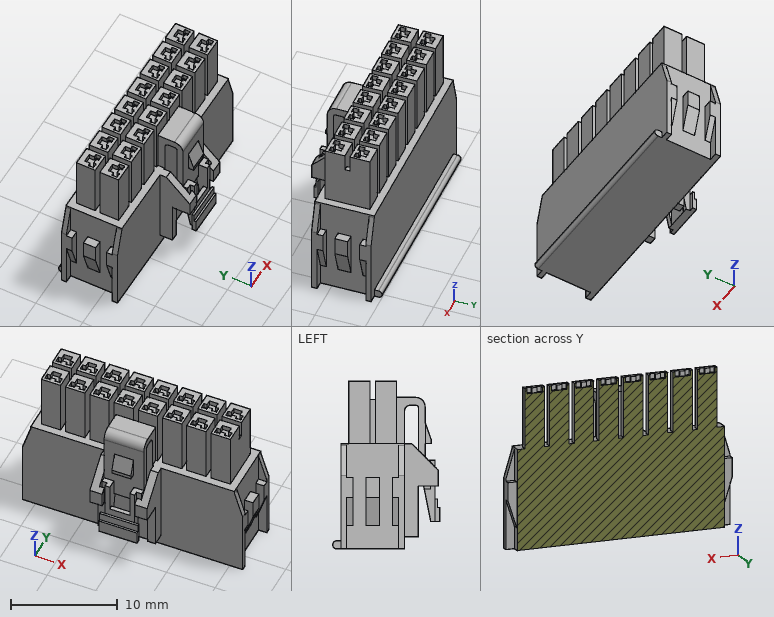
import cadquery as cq

OVERLAP = 0.11

length = 22.7
core_length = 20.97
housing_depth = 5.97
housing_height = 9.87
total_height = 15.7

front_wing_thickness = 0.57
back_wing_thickness = 0.52
wing_top = 9.67
wing_shoulder = 6.85

rib_top = 6.67
rib_ramp_top = 4.84
rib_bottom = 2.2
front_rib_edge = 1.15
back_rib_edge = 4.84
middle_rib_edges = (2.34, 3.63)

rail_width = 0.77
rail_height = 0.77
rail_rounding = 0.36

columns = 8
pitch = 2.5
tower_size = 2.0
row_centers = (1.75, 4.25)
cavity_depth = 0.5
cavity_wide = 1.52
cavity_narrow = 0.86
cavity_wide_height = 0.55
cavity_narrow_height = 0.55
cavity_front_wall = 0.32
key_width = 0.5
key_height = 0.25

web_width = 0.5
web_top = 14.0

latch_width = 4.09
latch_top = 14.2
latch_front = -1.93
latch_outer_radius = 0.9
latch_gap_front = -1.3
latch_gap_top = 13.44
latch_gap_back_radius = 0.5
latch_gap_front_radius = 0.23

tooth_width = 1.95
tooth_tip = -2.5
tooth_top = 11.85
tooth_lip_top = 10.24
tooth_bottom = 9.87

foot_top = 8.3
foot_bottom = 2.57
foot_front = -2.85
foot_bottom_back = -2.43
frame_width = 3.05
ear_bottom = 5.6
slot_width = 2.07
slot_floor = 5.47
arm_bottom = 6.67
tab_width = 3.93
tab_top = 4.7
tab_step = 3.9
tab_upper_front = -3.09
tab_front = -3.3

guide_outer_half = 2.95
guide_inner_half = 2.15
guide_bottom = 1.14
guide_leg_front = -1.3
guide_slope_start = -0.65
guide_front = -3.15
guide_arm_bottom = 5.88
lip_inner_half = 1.68
lip_back = -2.7


def block(x_range, y_range, z_range):
    """Box spanning the given ranges."""
    lows, highs = zip(*(sorted(r) for r in (x_range, y_range, z_range)))
    sizes = [high - low for low, high in zip(lows, highs)]
    return cq.Workplane("XY").box(*sizes, centered=False).translate(lows)


def centered_block(width, y_range, z_range):
    """Box centred on X = 0."""
    return block((-width / 2, width / 2), y_range, z_range)


def side_prism(points, x_range):
    """Prism along X from a closed (Y, Z) outline."""
    low, high = sorted(x_range)
    return cq.Workplane("YZ", origin=(low, 0, 0)).polyline(points).close().extrude(high - low)


def centered_prism(points, width):
    return side_prism(points, (-width / 2, width / 2))


def wing(y_start, thickness):
    """Full-length wall with sloped upper corners."""
    half_length = length / 2
    half_core = core_length / 2
    outline = [
        (-half_length, 0),
        (half_length, 0),
        (half_length, wing_shoulder),
        (half_core, wing_top),
        (-half_core, wing_top),
        (-half_length, wing_shoulder),
    ]
    plane = cq.Workplane("XZ", origin=(0, y_start + thickness, 0))
    return plane.polyline(outline).close().extrude(thickness)


def ribs(y_start, y_end):
    """Matching ribs on both ends, made as one bar through the core."""
    half_length = length / 2
    half_core = core_length / 2
    outline = [
        (-half_core, rib_bottom),
        (half_core, rib_bottom),
        (half_length, rib_ramp_top),
        (half_length, rib_top),
        (-half_length, rib_top),
        (-half_length, rib_ramp_top),
    ]
    return cq.Workplane("XZ", origin=(0, y_end, 0)).polyline(outline).close().extrude(y_end - y_start)


def rail():
    """Rail rounded along its two back edges."""
    root = housing_depth - OVERLAP
    back = housing_depth + rail_width
    bar = centered_block(core_length, (root, back), (0, rail_height))
    return bar.faces(">Y").edges("|X").fillet(rail_rounding)


def housing():
    back_wing_start = housing_depth - back_wing_thickness
    body = centered_block(core_length, (0, housing_depth), (0, housing_height))
    body = body.union(wing(0, front_wing_thickness))
    body = body.union(wing(back_wing_start, back_wing_thickness))
    body = body.union(ribs(front_wing_thickness - OVERLAP, front_rib_edge))
    body = body.union(ribs(*middle_rib_edges))
    body = body.union(ribs(back_rib_edge, back_wing_start + OVERLAP))
    return body.union(rail())


def tower_positions():
    first = -pitch * (columns - 1) / 2
    return [(first + i * pitch, y) for i in range(columns) for y in row_centers]


def towers():
    height = total_height - housing_height
    plane = cq.Workplane("XY", origin=(0, 0, housing_height - OVERLAP))
    return plane.pushPoints(tower_positions()).rect(tower_size, tower_size).extrude(height + OVERLAP)


def cavities():
    """Stepped cavities with a key in the middle of the front wall."""
    front = cavity_front_wall - tower_size / 2
    middle = front + cavity_wide_height
    back = middle + cavity_narrow_height
    depth_range = (total_height - cavity_depth, total_height)
    cavity = centered_block(cavity_wide, (front, middle), depth_range)
    cavity = cavity.union(centered_block(cavity_narrow, (middle - OVERLAP, back), depth_range))
    cavity = cavity.cut(centered_block(key_width, (front, front + key_height), depth_range))
    shape = cavity.val()
    return cq.Workplane("XY").pushPoints(tower_positions()).eachpoint(lambda place: shape.moved(place))


def tower_web():
    outer = pitch * (columns - 1) / 2 + tower_size / 2
    front = row_centers[0] + tower_size / 2 - OVERLAP
    back = row_centers[1] - tower_size / 2 + OVERLAP
    return block((outer - web_width, outer), (front, back), (housing_height - OVERLAP, web_top))


def latch_arm():
    """Inverted U rising from the housing and hanging down in front of it."""
    root = row_centers[0] - tower_size / 2
    arm = centered_block(latch_width, (root, latch_front), (foot_top, latch_top))
    arm = arm.edges(">Z and <Y").fillet(latch_outer_radius)
    gap = centered_block(latch_width, (0, latch_gap_front), (foot_top, latch_gap_top))
    gap = gap.edges(">Z and >Y").fillet(latch_gap_back_radius)
    gap = gap.edges(">Z and <Y").fillet(latch_gap_front_radius)
    return arm.cut(gap)


def latch_tooth():
    inside = latch_front + OVERLAP
    outline = [
        (inside, tooth_bottom),
        (tooth_tip, tooth_bottom),
        (tooth_tip, tooth_lip_top),
        (latch_front, tooth_top),
        (inside, tooth_top),
    ]
    return centered_prism(outline, tooth_width)


def latch_foot():
    taper = [
        (latch_gap_front, foot_top),
        (foot_bottom_back, foot_bottom),
        (foot_front, foot_bottom),
        (foot_front, foot_top),
    ]
    frame = centered_prism(taper, frame_width)
    ear_block = centered_block(latch_width, (latch_gap_front, foot_bottom_back), (ear_bottom, foot_top))
    ears = centered_prism(taper, latch_width).intersect(ear_block)
    foot = frame.union(ears)

    foot = foot.cut(centered_block(slot_width, (latch_front, foot_front), (slot_floor, foot_top)))
    foot = foot.cut(centered_block(slot_width, (0, foot_bottom_back), (foot_bottom, arm_bottom)))

    upper_tab = centered_block(tab_width, (foot_front, tab_upper_front), (foot_bottom, tab_top))
    lower_tab = centered_block(tab_width, (foot_front, tab_front), (foot_bottom, tab_step))
    return foot.union(upper_tab).union(lower_tab)


def guide():
    """Guide on the +X side: a leg with a hooked arm and an inward lip."""
    slope_end = housing_height - (guide_slope_start - guide_front)
    arm = [
        (OVERLAP, guide_arm_bottom),
        (guide_front, guide_arm_bottom),
        (guide_front, slope_end),
        (guide_slope_start, housing_height),
        (OVERLAP, housing_height),
    ]
    leg_range = (guide_inner_half, guide_outer_half)
    leg = block(leg_range, (OVERLAP, guide_leg_front), (guide_bottom, guide_arm_bottom + OVERLAP))
    lip_range = (lip_inner_half, guide_outer_half)
    lip_block = block(lip_range, (lip_back, guide_front), (guide_arm_bottom, housing_height))
    lip = side_prism(arm, lip_range).intersect(lip_block)
    return leg.union(side_prism(arm, leg_range)).union(lip)


right_guide = guide()
left_guide = right_guide.mirror("YZ")

result = housing().union(towers()).union(tower_web())
result = result.union(latch_arm().union(latch_foot()).union(latch_tooth()))
result = result.union(right_guide).union(left_guide)
result = result.cut(cavities())